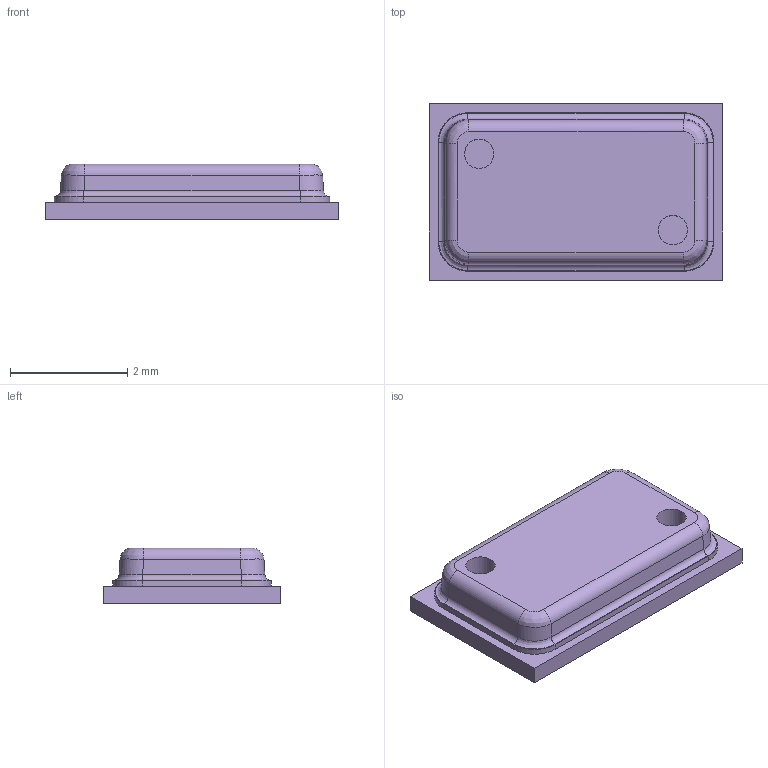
import cadquery as cq

board_length = 5.0
board_width = 3.0
board_thickness = 0.3

overall_height = 0.95
flange_margin = 0.15
flange_thickness = 0.1
flange_corner_radius = 0.5
flange_ledge = 0.1
wall_draft_degrees = 3.0
cap_corner_radius = 0.4
cap_top_fillet = 0.2
cap_root_fillet = 0.1

port_diameter = 0.5
port_x = 1.65
port_y = 0.65

flange_length = board_length - 2 * flange_margin
flange_width = board_width - 2 * flange_margin
cap_length = flange_length - 2 * flange_ledge
cap_width = flange_width - 2 * flange_ledge
flange_top = board_thickness + flange_thickness
lid_height = overall_height - board_thickness

pick_margin = 0.01


def make_board():
    return cq.Workplane("XY").box(
        board_length, board_width, board_thickness, centered=(True, True, False)
    )


def make_flange():
    return (
        cq.Workplane("XY", origin=(0, 0, board_thickness))
        .rect(flange_length, flange_width)
        .extrude(flange_thickness)
        .edges("|Z")
        .fillet(flange_corner_radius)
    )


def make_cap():
    """Drafted block with constant-radius corners and a rounded top rim."""
    drafted_block = (
        cq.Workplane("XY", origin=(0, 0, board_thickness))
        .rect(cap_length, cap_width)
        .extrude(lid_height, taper=wall_draft_degrees)
    )
    slanted_corners = drafted_block.edges("not(#Z)")
    rounded_block = slanted_corners.fillet(cap_corner_radius)
    return rounded_block.faces(">Z").edges().fillet(cap_top_fillet)


def make_lid():
    """Flange and cap joined, with a concave fillet where the walls meet the flange."""
    lid = make_flange().union(make_cap())
    root_edges = lid.edges(
        cq.selectors.BoxSelector(
            (-cap_length / 2 - pick_margin, -cap_width / 2 - pick_margin, flange_top - pick_margin),
            (cap_length / 2 + pick_margin, cap_width / 2 + pick_margin, flange_top + pick_margin),
            boundingbox=True,
        )
    )
    return root_edges.fillet(cap_root_fillet)


def make_ports():
    return (
        cq.Workplane("XY", origin=(0, 0, board_thickness))
        .pushPoints([(-port_x, port_y), (port_x, -port_y)])
        .circle(port_diameter / 2)
        .extrude(lid_height)
    )


result = make_board().union(make_lid()).cut(make_ports())